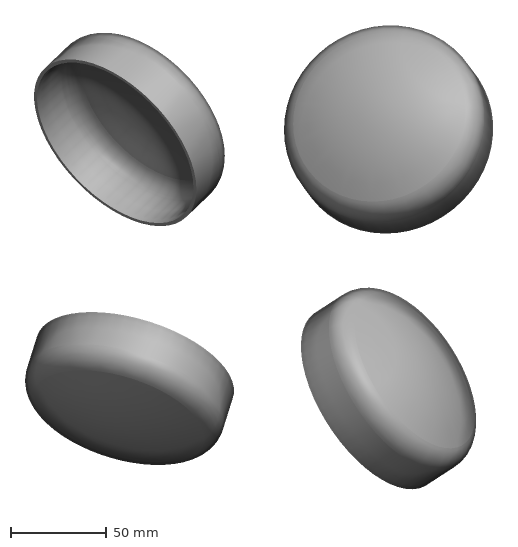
import cadquery as cq
import math

outer_diameter = 108.0
inner_diameter = 104.0
skirt_length = 20.0
inner_crown_radius = outer_diameter
inner_knuckle_radius = outer_diameter / 10

outer_radius = outer_diameter / 2
inner_radius = inner_diameter / 2
wall = outer_radius - inner_radius

knuckle_centre_x = inner_radius - inner_knuckle_radius
centre_distance = inner_crown_radius - inner_knuckle_radius
crown_half_angle = math.asin(knuckle_centre_x / centre_distance)
crown_centre_y = skirt_length - centre_distance * math.cos(crown_half_angle)


def knuckle_point(radius, angle):
    """Point on a knuckle arc, with the angle measured from the +Y axis."""
    return (
        knuckle_centre_x + radius * math.sin(angle),
        skirt_length + radius * math.cos(angle),
    )


def crown_point(radius, angle):
    """Point on a crown arc, with the angle measured from the +Y axis."""
    return (radius * math.sin(angle), crown_centre_y + radius * math.cos(angle))


outer_knuckle_radius = inner_knuckle_radius + wall
outer_crown_radius = inner_crown_radius + wall
knuckle_middle_angle = (crown_half_angle + math.pi / 2) / 2
crown_middle_angle = crown_half_angle / 2

wall_section = (
    cq.Workplane("XY")
    .moveTo(outer_radius, 0)
    .lineTo(outer_radius, skirt_length)
    .threePointArc(
        knuckle_point(outer_knuckle_radius, knuckle_middle_angle),
        knuckle_point(outer_knuckle_radius, crown_half_angle),
    )
    .threePointArc(
        crown_point(outer_crown_radius, crown_middle_angle),
        crown_point(outer_crown_radius, 0),
    )
    .lineTo(*crown_point(inner_crown_radius, 0))
    .threePointArc(
        crown_point(inner_crown_radius, crown_middle_angle),
        crown_point(inner_crown_radius, crown_half_angle),
    )
    .threePointArc(
        knuckle_point(inner_knuckle_radius, knuckle_middle_angle),
        (inner_radius, skirt_length),
    )
    .lineTo(inner_radius, 0)
    .close()
)

result = wall_section.revolve(360, (0, 0, 0), (0, 1, 0))